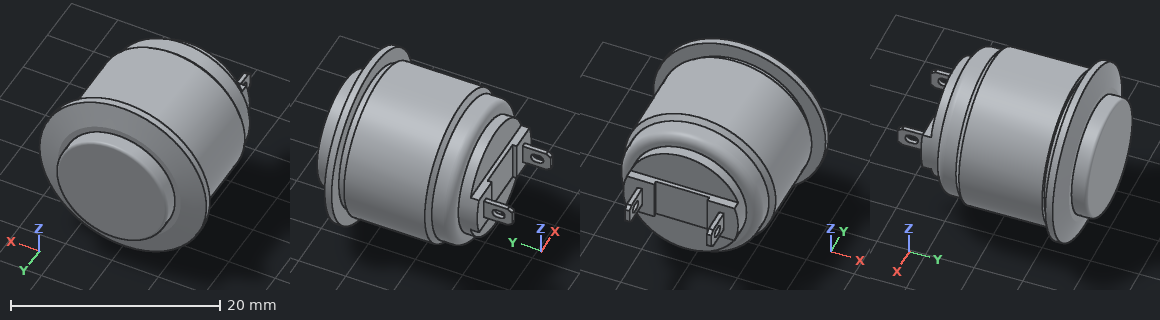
import cadquery as cq

TOTAL_LENGTH = 20.1
TERMINAL_LENGTH = 3.0
REAR_FACE_Y = 3.88
COLLAR_REAR_Y = 5.0
BODY_REAR_Y = 7.15
BODY_FRONT_Y = 16.22
FLANGE_REAR_Y = 17.0
FLANGE_RIM_WIDTH = 0.75
FLANGE_FRONT_Y = 18.5

FLANGE_RADIUS = 18.0 / 2
BODY_RADIUS = 15.8 / 2
COLLAR_RADIUS = 14.8 / 2
CORE_RADIUS = 12.0 / 2
FLANGE_FRONT_RADIUS = 6.63

CAP_FILLET = 0.3
COLLAR_FILLET = 0.86
BODY_CHAMFER = BODY_RADIUS - COLLAR_RADIUS

BLOCK_HEIGHT = 4.2
RECESS_WIDTH = 5.55
RECESS_DEPTH = 0.45

TERMINAL_SPACING = 8.55
TERMINAL_THICKNESS = 0.48
TERMINAL_WIDTH = 2.07
TIP_CHAMFER_LENGTH = 0.48
TIP_CHAMFER_WIDTH = 0.32
SLOT_LENGTH = 1.3
SLOT_WIDTH = 0.88
SLOT_CENTER_Y = 1.45


def cylinder(radius, rear_y, front_y):
    """Solid cylinder on the Y axis between two stations."""
    plane = cq.Workplane("XZ", origin=(0, rear_y, 0))
    return plane.circle(radius).extrude(rear_y - front_y)


def make_flange():
    """Round flange whose front face tapers in from a straight rim."""
    rim_front_y = FLANGE_REAR_Y + FLANGE_RIM_WIDTH
    profile = [
        (0, FLANGE_REAR_Y),
        (FLANGE_RADIUS, FLANGE_REAR_Y),
        (FLANGE_RADIUS, rim_front_y),
        (FLANGE_FRONT_RADIUS, FLANGE_FRONT_Y),
        (0, FLANGE_FRONT_Y),
    ]
    return cq.Workplane("XY").polyline(profile).close().revolve(360, (0, 0, 0), (0, 1, 0))


def make_terminal_block():
    """Bar trimmed to the round core, recessed between the terminals."""
    block_length = REAR_FACE_Y - TERMINAL_LENGTH
    bar = (
        cq.Workplane("XY")
        .box(2 * CORE_RADIUS, block_length, BLOCK_HEIGHT, centered=(True, False, True))
        .translate((0, TERMINAL_LENGTH, 0))
    )
    recess = (
        cq.Workplane("XY")
        .box(RECESS_WIDTH, RECESS_DEPTH, BLOCK_HEIGHT, centered=(True, False, True))
        .translate((0, TERMINAL_LENGTH, 0))
    )
    return bar.intersect(cylinder(CORE_RADIUS, TERMINAL_LENGTH, REAR_FACE_Y)).cut(recess)


def make_terminal(center_x):
    """Flat solder tag with a clipped tip and a slotted eye."""
    half_width = TERMINAL_WIDTH / 2
    tip_half_width = half_width - TIP_CHAMFER_WIDTH
    outline = [
        (TERMINAL_LENGTH, -half_width),
        (TIP_CHAMFER_LENGTH, -half_width),
        (0, -tip_half_width),
        (0, tip_half_width),
        (TIP_CHAMFER_LENGTH, half_width),
        (TERMINAL_LENGTH, half_width),
    ]
    plane = cq.Workplane("YZ", origin=(center_x, 0, 0))
    tag = plane.polyline(outline).close().extrude(TERMINAL_THICKNESS / 2, both=True)
    eye = (
        plane.center(SLOT_CENTER_Y, 0)
        .slot2D(SLOT_LENGTH, SLOT_WIDTH)
        .extrude(TERMINAL_THICKNESS, both=True)
    )
    return tag.cut(eye)


core = cylinder(CORE_RADIUS, REAR_FACE_Y, TOTAL_LENGTH).faces(">Y").edges().fillet(CAP_FILLET)
collar = cylinder(COLLAR_RADIUS, COLLAR_REAR_Y, FLANGE_REAR_Y).faces("<Y").edges().fillet(COLLAR_FILLET)
body = cylinder(BODY_RADIUS, BODY_REAR_Y, BODY_FRONT_Y).faces("<Y").edges().chamfer(BODY_CHAMFER)

result = core.union(collar).union(body).union(make_flange()).union(make_terminal_block())
for side in (-1, 1):
    result = result.union(make_terminal(side * TERMINAL_SPACING / 2))